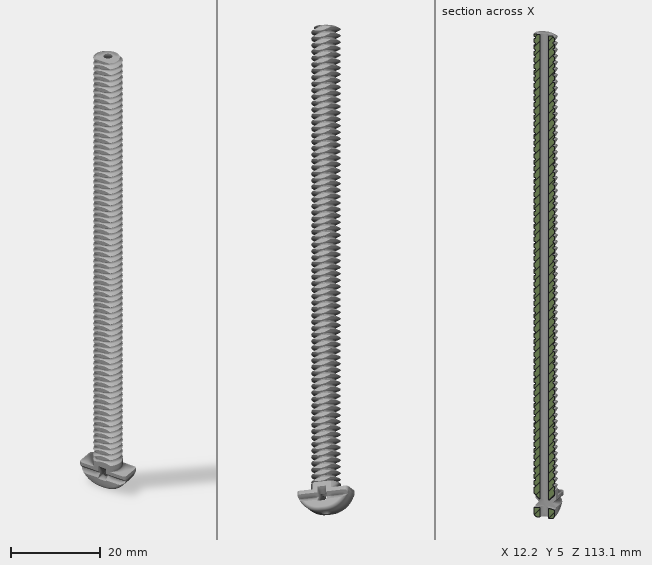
import cadquery as cq
import math

total_height = 113.1
head_length = 12.2
part_thickness = 5.0

head_height = 5.0
rim_height = 0.9
head_bottom_half_length = 0.6
head_fillet = 0.75

major_diameter = 6.6
thread_pitch = 1.5
turn_count = 71
flank_half_angle = 30.0
root_width = thread_pitch / 8
crest_angle = 180.0
crest_drop = 0.5

bore_diameter = 2.0
groove_height = 3.3
groove_width = 1.7
groove_depth = 0.85
window_bottom = 2.45
window_top = 4.1
window_mouth_top = 5.5
window_mouth_bottom = 2.2
window_straight_length = 2.0

core_overlap = 0.05
ridge_turns = 3
sewing_tolerance = 0.0002
plane_tolerance = 0.000001

half_length = head_length / 2
half_thickness = part_thickness / 2
major_radius = major_diameter / 2
flank_slope = math.tan(math.radians(flank_half_angle))
thread_depth = (thread_pitch - root_width) / 2 / flank_slope
core_radius = major_radius - thread_depth
neck_top = total_height - turn_count * thread_pitch


def make_slab(height):
    """Block between the two flat sides of the part, standing on Z = 0."""
    return cq.Workplane("XY").box(head_length, part_thickness, height, centered=(True, True, False))


def make_bore(height):
    """Cutter for the central cord bore, standing on Z = 0."""
    return cq.Workplane("XY").circle(bore_diameter / 2).extrude(height)


def make_head():
    """Flat-sided head with a round underside and filleted side edges."""
    rim_bottom = head_height - rim_height
    arc_reach = half_length - head_bottom_half_length
    underside_radius = (arc_reach**2 + rim_bottom**2) / (2 * rim_bottom)
    head = (
        cq.Workplane("XZ")
        .moveTo(-half_length, head_height)
        .lineTo(-half_length, rim_bottom)
        .radiusArc((-head_bottom_half_length, 0), -underside_radius)
        .lineTo(head_bottom_half_length, 0)
        .radiusArc((half_length, rim_bottom), -underside_radius)
        .lineTo(half_length, head_height)
        .close()
        .extrude(half_thickness, both=True)
    )
    return head.faces("<Y or >Y").edges("not >Z").fillet(head_fillet)


def make_neck():
    """Plain round neck between the head and the thread, flattened on both sides."""
    neck = cq.Workplane("XY").workplane(offset=head_height).circle(major_radius)
    return neck.extrude(neck_top - head_height).intersect(make_slab(neck_top))


def cut_cord_grooves(body):
    """Cut a V groove along X into each flat side of the head."""
    half_width = groove_width / 2
    for side in (-1, 1):
        face_y = side * half_thickness
        groove = (
            cq.Workplane("YZ")
            .moveTo(face_y, groove_height - half_width)
            .lineTo(face_y - side * groove_depth, groove_height)
            .lineTo(face_y, groove_height + half_width)
            .close()
            .extrude(half_length, both=True)
        )
        body = body.cut(groove)
    return body


def cut_cord_window(body):
    """Cut the passage along Y that flares in height towards both flat sides."""
    half_straight = window_straight_length / 2
    window = (
        cq.Workplane("YZ")
        .moveTo(-half_thickness, window_mouth_bottom)
        .lineTo(-half_straight, window_bottom)
        .lineTo(half_straight, window_bottom)
        .lineTo(half_thickness, window_mouth_bottom)
        .lineTo(half_thickness, window_mouth_top)
        .lineTo(half_straight, window_top)
        .lineTo(-half_straight, window_top)
        .lineTo(-half_thickness, window_mouth_top)
        .close()
        .extrude(bore_diameter / 2, both=True)
    )
    return body.cut(window)


def make_ridge():
    """A few turns of the helical ridge, starting below Z = 0."""
    base_radius = core_radius - core_overlap
    half_base = flank_slope * (thread_depth + core_overlap)
    helix = cq.Wire.makeHelix(thread_pitch, ridge_turns * thread_pitch, core_radius)
    ridge = (
        cq.Workplane("XZ")
        .moveTo(base_radius, -half_base)
        .lineTo(major_radius, 0)
        .lineTo(base_radius, half_base)
        .close()
        .sweep(cq.Workplane(helix), isFrenet=True)
    )
    ridge = ridge.rotate((0, 0, 0), (0, 0, 1), crest_angle)
    return ridge.translate((0, 0, -thread_pitch - crest_drop))


def make_rod_turn():
    """One pitch of the flattened, bored and threaded rod, standing on Z = 0."""
    slab = make_slab(thread_pitch)
    core = cq.Workplane("XY").circle(core_radius).extrude(thread_pitch)
    ridge = make_ridge().intersect(slab)
    turn = core.intersect(slab).union(ridge, clean=False)
    return turn.cut(make_bore(thread_pitch)).val()


def end_faces(solid, height):
    """Flat faces of a solid that lie at the given height."""
    return [
        face
        for face in solid.Faces()
        if face.geomType() == "PLANE" and abs(face.Center().z - height) < plane_tolerance
    ]


def without(faces, removed):
    """The faces that are not among the removed ones."""
    return [face for face in faces if not any(face.isSame(other) for other in removed)]


def stack_turns(base, turn):
    """Sew identical rod turns onto the base, which already carries the lowest turn."""
    top_faces = end_faces(turn, thread_pitch)
    side_faces = without(turn.Faces(), top_faces + end_faces(turn, 0))
    faces = without(base.Faces(), end_faces(base, neck_top + thread_pitch))
    for index in range(1, turn_count):
        lift = cq.Vector(0, 0, neck_top + index * thread_pitch)
        faces += [face.translate(lift) for face in side_faces]
    last_lift = cq.Vector(0, 0, total_height - thread_pitch)
    faces += [face.translate(last_lift) for face in top_faces]
    shell = cq.occ_impl.shapes.shell(*faces, tol=sewing_tolerance)
    return cq.Solid.makeSolid(shell)


rod_turn = make_rod_turn()
lower_body = make_head().union(make_neck())
lower_body = cut_cord_grooves(lower_body)
lower_body = cut_cord_window(lower_body)
lower_body = lower_body.cut(make_bore(neck_top))
lower_body = lower_body.union(cq.Workplane(rod_turn).translate((0, 0, neck_top)), clean=False)
result = cq.Workplane(stack_turns(lower_body.val(), rod_turn))